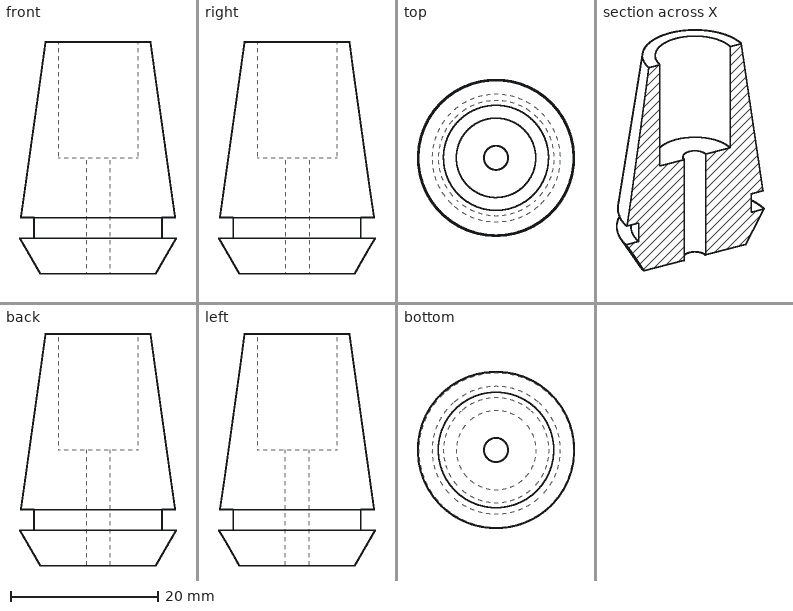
import cadquery as cq
import math

total_length = 31.5
flange_height = 4.85
groove_width = 2.8
body_base_z = flange_height + groove_width

flange_radius = 10.65
flange_half_angle = 30.0
groove_radius = 8.7
body_base_radius = 10.5
body_half_angle = 8.0

clamping_radius = 1.625
relief_radius = 5.4
relief_depth = total_length / 2


def taper_end_radius(start_radius, height, half_angle):
    """Small-end radius of a cone that narrows at half_angle over height."""
    return start_radius - height * math.tan(math.radians(half_angle))


flange_end_radius = taper_end_radius(flange_radius, flange_height, flange_half_angle)
body_top_radius = taper_end_radius(body_base_radius, total_length - body_base_z, body_half_angle)


def collet_body():
    """Solid of revolution: bottom cone, extraction groove and long taper."""
    profile = [
        (0, 0),
        (-flange_end_radius, 0),
        (-flange_radius, flange_height),
        (-groove_radius, flange_height),
        (-groove_radius, body_base_z),
        (-body_base_radius, body_base_z),
        (-body_top_radius, total_length),
        (0, total_length),
    ]
    return cq.Workplane("YZ").polyline(profile).close().revolve(360, (0, 0), (0, 1))


def bore(radius, depth):
    """Cylinder that cuts down from the top face."""
    return cq.Workplane("XY").workplane(offset=total_length - depth).circle(radius).extrude(depth)


result = collet_body().cut(bore(clamping_radius, total_length)).cut(bore(relief_radius, relief_depth))